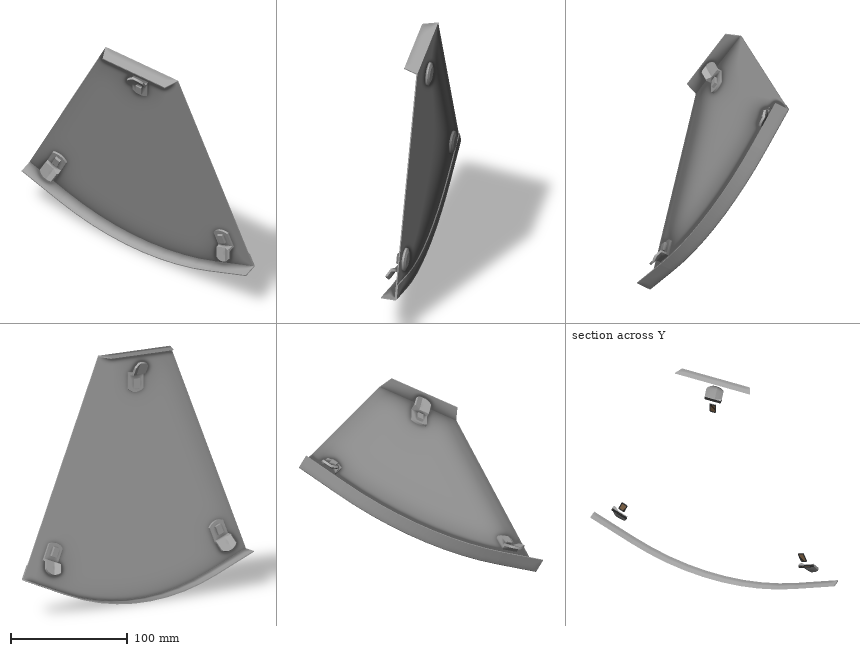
import cadquery as cq
import math

SHEET = 0.97
HALF_ANGLE = 22.5
HALF_WIDTH = 115.0
ARC_RADIUS = 200.0
TOP_Z = 109.5
BOTTOM_Z = -110.2
FLANGE_FRONT_Y = -7.8

RIM_LEG = 13.8
RIM_INNER_BEND = 0.55

LEVER_WIDTH = 15.0
LEVER_THICKNESS = 2.0
LEVER_BACK_Y = 3.7
LEVER_END = 7.8
LEVER_STEP_TOP = 10.1
FOOT_BULGE = 2.8
WING_BULGE = 3.5
WING_ROOT_Y = -0.2
WING_LENGTH = 11.3
WING_TILT = 30.0
FOLD_X = -2.0
FOLD_ANGLE = 27.0

HEAD_RADIUS = 10.1
HEAD_FLAT_RADIUS = 6.7
HEAD_BACK_Y = 8.5
HEAD_TAPER = 1.4
SHANK_RADIUS = 6.0
SHANK_PROUD = 0.58
TANG_WIDTH = 5.5
TANG_HEIGHT = 8.3
TANG_FRONT_Y = -1.0

TOP_FASTENER_Z = 81.7
LOW_FASTENER_X = 84.5
LOW_FASTENER_Z = -57.0
FASTENERS = [
    (0, TOP_FASTENER_Z, 0),
    (LOW_FASTENER_X, LOW_FASTENER_Z, 180 - HALF_ANGLE),
    (-LOW_FASTENER_X, LOW_FASTENER_Z, 180 + HALF_ANGLE),
]

PLATE_FRONT_Y = LEVER_BACK_Y + SHANK_PROUD
PLATE_BACK_Y = PLATE_FRONT_Y + SHEET
RIM_BACK_Y = PLATE_BACK_Y + SHEET
RIM_OUTER_BEND = RIM_INNER_BEND + SHEET
LEVER_HALF = LEVER_WIDTH / 2
FOLD_RISE = (LEVER_HALF + FOLD_X) * math.tan(math.radians(FOLD_ANGLE))
LEVER_FRONT_Y = LEVER_BACK_Y - LEVER_THICKNESS
LEVER_STEP_BOTTOM = LEVER_STEP_TOP - LEVER_THICKNESS
SIN_SIDE = math.sin(math.radians(HALF_ANGLE))
COS_SIDE = math.cos(math.radians(HALF_ANGLE))
TAN_SIDE = SIN_SIDE / COS_SIDE
ARC_CENTER_Z = BOTTOM_Z + ARC_RADIUS
RIM_END_Z = ARC_CENTER_Z - ARC_RADIUS * COS_SIDE + (HALF_WIDTH - ARC_RADIUS * SIN_SIDE) * TAN_SIDE
TOP_HALF_WIDTH = HALF_WIDTH - (TOP_Z - RIM_END_Z) * TAN_SIDE


def slab(outline, front_y, back_y):
    """Extrude an outline drawn on the XZ plane so that it spans front_y to back_y."""
    return outline.extrude(back_y - front_y).translate((0, back_y, 0))


def lower_edge(inset):
    """Points of the line-arc-line lower edge, moved inward by inset: left end to right end."""
    radius = ARC_RADIUS - inset
    end_x = HALF_WIDTH - inset * SIN_SIDE
    end_z = RIM_END_Z + inset * COS_SIDE
    tangent_x = radius * SIN_SIDE
    tangent_z = ARC_CENTER_Z - radius * COS_SIDE
    return (
        (-end_x, end_z),
        (-tangent_x, tangent_z),
        (0, ARC_CENTER_Z - radius),
        (tangent_x, tangent_z),
        (end_x, end_z),
    )


def trace_lower_edge(inset):
    """Open wire along the lower edge, moved inward by inset."""
    left_end, left_tangent, bottom, right_tangent, right_end = lower_edge(inset)
    return (
        cq.Workplane("XZ")
        .moveTo(*left_end)
        .lineTo(*left_tangent)
        .threePointArc(bottom, right_tangent)
        .lineTo(*right_end)
    )


def make_plate():
    """Flat sector with a mitred flange along the top and holes for the three shanks."""
    sector = (
        trace_lower_edge(RIM_OUTER_BEND)
        .lineTo(TOP_HALF_WIDTH, TOP_Z)
        .lineTo(-TOP_HALF_WIDTH, TOP_Z)
        .close()
    )
    plate = slab(sector, PLATE_FRONT_Y, PLATE_BACK_Y)
    flange_end_half = TOP_HALF_WIDTH - (PLATE_FRONT_Y - FLANGE_FRONT_Y) * TAN_SIDE
    flange = (
        cq.Workplane("XY", origin=(0, 0, TOP_Z - SHEET))
        .polyline([
            (-TOP_HALF_WIDTH, PLATE_FRONT_Y),
            (TOP_HALF_WIDTH, PLATE_FRONT_Y),
            (flange_end_half, FLANGE_FRONT_Y),
            (-flange_end_half, FLANGE_FRONT_Y),
        ])
        .close()
        .extrude(SHEET)
    )
    plate = plate.union(flange)
    for x, z, _ in FASTENERS:
        shank_hole = slab(cq.Workplane("XZ").center(x, z).circle(SHANK_RADIUS), PLATE_FRONT_Y, PLATE_BACK_Y)
        plate = plate.cut(shank_hole)
    return plate


def make_rim():
    """L-section with a rounded bend, swept along the lower edge."""
    left_end = lower_edge(0)[0]
    section_plane = cq.Plane(
        origin=(left_end[0], RIM_BACK_Y, left_end[1]),
        xDir=(SIN_SIDE, 0, COS_SIDE),
        normal=(COS_SIDE, 0, -SIN_SIDE),
    )
    flange_depth = RIM_BACK_Y - FLANGE_FRONT_Y
    section = (
        cq.Workplane(section_plane)
        .moveTo(RIM_OUTER_BEND, 0)
        .lineTo(RIM_LEG, 0)
        .lineTo(RIM_LEG, SHEET)
        .lineTo(RIM_OUTER_BEND, SHEET)
        .radiusArc((SHEET, RIM_OUTER_BEND), RIM_INNER_BEND)
        .lineTo(SHEET, flange_depth)
        .lineTo(0, flange_depth)
        .lineTo(0, RIM_OUTER_BEND)
        .radiusArc((RIM_OUTER_BEND, 0), -RIM_OUTER_BEND)
        .close()
    )
    return section.sweep(trace_lower_edge(0))


def make_wing():
    """Tilted end of the lever, folded forward along a crease, with a rounded tip."""
    fold = math.radians(FOLD_ANGLE)
    tilt = math.radians(WING_TILT)
    along = cq.Vector(0, -math.sin(tilt), math.cos(tilt))
    forward = cq.Vector(0, -math.cos(tilt), -math.sin(tilt))
    root = cq.Vector(0, WING_ROOT_Y, LEVER_STEP_TOP)
    corner_x = LEVER_THICKNESS * math.sin(fold) - LEVER_HALF
    corner_depth = FOLD_RISE + LEVER_THICKNESS * math.cos(fold)
    below_root = 2 * corner_depth

    section_plane = cq.Plane(origin=root - along * below_root, xDir=(1, 0, 0), normal=along)
    folded_bar = (
        cq.Workplane(section_plane)
        .polyline([
            (LEVER_HALF, 0),
            (FOLD_X, 0),
            (-LEVER_HALF, -FOLD_RISE),
            (corner_x, -corner_depth),
            (FOLD_X + LEVER_THICKNESS * math.tan(fold / 2), -LEVER_THICKNESS),
            (LEVER_HALF, -LEVER_THICKNESS),
        ])
        .close()
        .extrude(below_root + WING_LENGTH)
    )
    face_plane = cq.Plane(origin=root, xDir=(1, 0, 0), normal=forward)
    rounded_face = (
        cq.Workplane(face_plane)
        .moveTo(-LEVER_HALF, -below_root)
        .lineTo(-LEVER_HALF, WING_LENGTH - WING_BULGE)
        .threePointArc((0, WING_LENGTH), (LEVER_HALF, WING_LENGTH - WING_BULGE))
        .lineTo(LEVER_HALF, -below_root)
        .close()
        .extrude(corner_depth)
    )
    above_step = (
        cq.Workplane("XY", origin=(0, 0, LEVER_STEP_BOTTOM))
        .rect(2 * LEVER_WIDTH, 4 * LEVER_WIDTH)
        .extrude(2 * WING_LENGTH)
    )
    return folded_bar.intersect(rounded_face).intersect(above_step)


def make_lever():
    """Flat foot with a rounded end, a forward step and the folded wing, on an axis at the origin."""
    foot_outline = (
        cq.Workplane("XZ")
        .moveTo(-LEVER_HALF, LEVER_STEP_TOP)
        .lineTo(-LEVER_HALF, FOOT_BULGE - LEVER_END)
        .threePointArc((0, -LEVER_END), (LEVER_HALF, FOOT_BULGE - LEVER_END))
        .lineTo(LEVER_HALF, LEVER_STEP_TOP)
        .close()
    )
    foot = slab(foot_outline, LEVER_FRONT_Y, LEVER_BACK_Y)
    step = (
        cq.Workplane("XY", origin=(0, 0, LEVER_STEP_BOTTOM))
        .polyline([
            (-LEVER_HALF, LEVER_BACK_Y),
            (LEVER_HALF, LEVER_BACK_Y),
            (LEVER_HALF, WING_ROOT_Y),
            (FOLD_X, WING_ROOT_Y),
            (-LEVER_HALF, WING_ROOT_Y - FOLD_RISE / math.cos(math.radians(WING_TILT))),
        ])
        .close()
        .extrude(LEVER_THICKNESS)
    )
    tang_hole = slab(cq.Workplane("XZ").rect(TANG_WIDTH, TANG_HEIGHT), LEVER_FRONT_Y, LEVER_BACK_Y)
    return foot.union(step).union(make_wing()).cut(tang_hole)


def make_stud():
    """Tapered head, shank and tang on an axis at the origin."""
    rim_back_y = HEAD_BACK_Y - HEAD_TAPER
    round_part = (
        cq.Workplane("XY")
        .moveTo(0, LEVER_BACK_Y)
        .lineTo(SHANK_RADIUS, LEVER_BACK_Y)
        .lineTo(SHANK_RADIUS, PLATE_BACK_Y)
        .lineTo(HEAD_RADIUS, PLATE_BACK_Y)
        .lineTo(HEAD_RADIUS, rim_back_y)
        .lineTo(HEAD_FLAT_RADIUS, HEAD_BACK_Y)
        .lineTo(0, HEAD_BACK_Y)
        .close()
        .revolve(360, (0, 0, 0), (0, 1, 0))
    )
    tang = slab(cq.Workplane("XZ").rect(TANG_WIDTH, TANG_HEIGHT), TANG_FRONT_Y, LEVER_BACK_Y)
    return round_part.union(tang)


def place(body, x, z, turn):
    """Turn a body about its own axis, then move that axis to x, z."""
    return body.rotate((0, 0, 0), (0, 1, 0), turn).translate((x, 0, z))


plate = make_plate()
rim = make_rim()
levers = [place(make_lever(), *fastener) for fastener in FASTENERS]
studs = [place(make_stud(), *fastener) for fastener in FASTENERS]

result = cq.Compound.makeCompound([
    plate.val(),
    rim.val(),
    *[lever.val() for lever in levers],
    *[stud.val() for stud in studs],
])